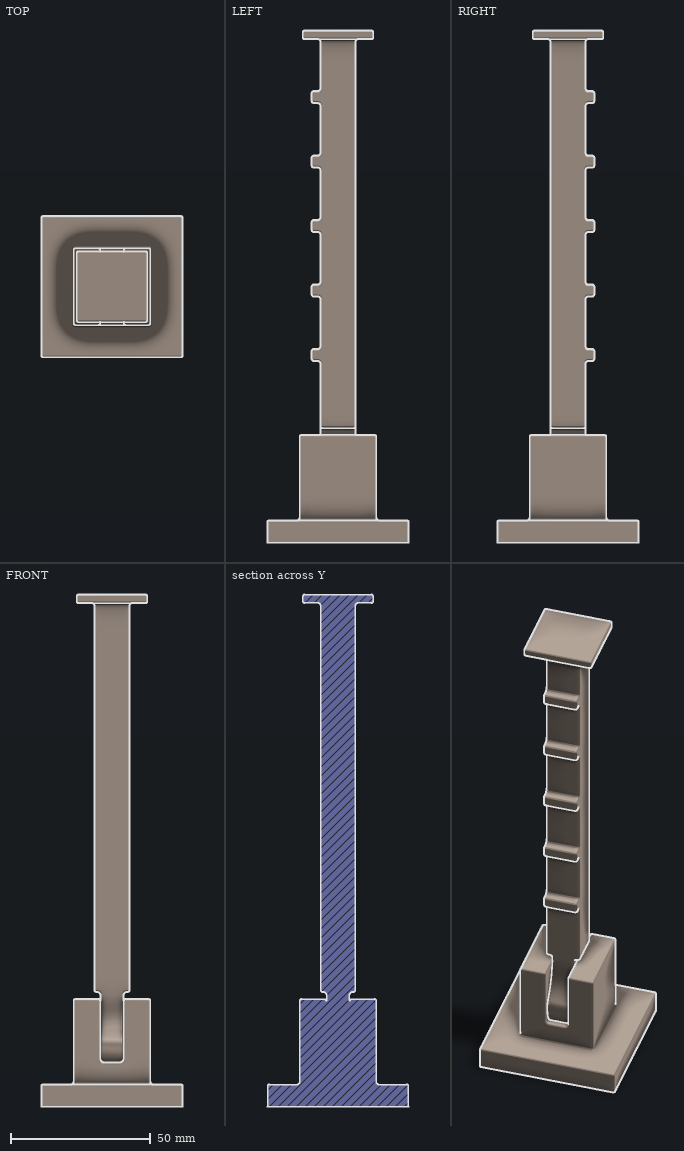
import cadquery as cq
import math

overall_height = 184.04
edge_fillet = 0.95
tolerance = 0.001

base_side = 50.8
base_height = 8.13
base_fillet = 0.76

block_side = 27.6
block_top = 38.8
block_fillet = 0.76
slot_width = 8.4
slot_floor = 16.0
slot_corner_radius = 1.5

post_side = 12.7
shoulder_height = 41.2

tongue_width = slot_width
tongue_overlap = 2.0
flare_top = 39.3
pivot_height = 21.4
foot_radius = 12.4
toe_radius = 6.35
toe_rise = 3.87

ridge_count = 5
ridge_pitch = 23.15
ridge_reach = 3.175
ridge_height = 4.4
lowest_ridge_height = 67.5

cap_side = 25.4
cap_thickness = 3.175
cap_fillet = 0.76
cap_bottom = overall_height - cap_thickness


def square_plate(side, bottom, top):
    """Square prism centred on the Z axis."""
    return cq.Workplane("XY").workplane(offset=bottom).rect(side, side).extrude(top - bottom)


def same(a, b):
    return abs(a - b) < tolerance


def fillet_edges(part, radius, wanted):
    """Fillet every edge whose bounding box satisfies the test."""
    edges = [edge for edge in part.edges().vals() if wanted(edge.BoundingBox())]
    return part.newObject(edges).fillet(radius)


def inside_square(box, half):
    """True when the box lies within a square of the given half side around the Z axis."""
    return max(abs(box.xmin), abs(box.xmax), abs(box.ymin), abs(box.ymax)) < half + tolerance


def make_base():
    base = square_plate(base_side, 0, base_height)
    base = base.edges("|Z").fillet(base_fillet)
    return base.faces(">Z").edges().fillet(base_fillet)


def make_block():
    """Block with a round-cornered slot running through it along Y."""
    slot = (
        cq.Workplane("XZ")
        .center(0, slot_floor + block_top / 2)
        .rect(slot_width, block_top)
        .extrude(block_side, both=True)
        .edges("|Y and <Z")
        .fillet(slot_corner_radius)
    )
    block = square_plate(block_side, base_height, block_top)
    block = block.edges("|Z").fillet(block_fillet).cut(slot)

    def on_rim(box):
        on_top = same(box.zmin, block_top)
        on_end = same(box.ylen, 0) and same(abs(box.ymin), block_side / 2)
        at_slot = max(abs(box.xmin), abs(box.xmax)) < slot_width / 2 + tolerance
        return on_top or (on_end and at_slot)

    return fillet_edges(block, block_fillet, on_rim)


def make_body():
    body = make_base().union(make_block())

    def at_block_root(box):
        return same(box.zmin, base_height) and same(box.zlen, 0) and inside_square(box, block_side / 2)

    return fillet_edges(body, edge_fillet, at_block_root)


def make_tongue():
    """Half outline in the YZ plane, extruded across the slot and mirrored."""
    half = post_side / 2
    top = shoulder_height + tongue_overlap
    toe_center = foot_radius - toe_radius

    flare_angle = math.asin(toe_rise / toe_radius)
    join = (toe_center + toe_radius * math.cos(flare_angle), pivot_height + toe_rise)
    toe_mid = (
        toe_center + toe_radius * math.cos(flare_angle / 2),
        pivot_height + toe_radius * math.sin(flare_angle / 2),
    )
    toe_tip = (foot_radius, pivot_height)

    heel_angle = math.asin(toe_rise / foot_radius)
    heel = (foot_radius * math.cos(heel_angle), pivot_height - toe_rise)
    lower_mid = (
        foot_radius * math.cos(heel_angle / 2),
        pivot_height - foot_radius * math.sin(heel_angle / 2),
    )
    sole = (heel[0] - (heel[1] - slot_floor) * math.tan(heel_angle), slot_floor)

    half_tongue = (
        cq.Workplane("YZ")
        .moveTo(0, top)
        .lineTo(half, top)
        .lineTo(half, flare_top)
        .tangentArcPoint(join, relative=False)
        .threePointArc(toe_mid, toe_tip)
        .threePointArc(lower_mid, heel)
        .lineTo(*sole)
        .lineTo(0, slot_floor)
        .close()
        .extrude(tongue_width / 2, both=True)
    )
    return half_tongue.union(half_tongue.mirror("XZ")).clean()


def make_post():
    """Square post with ridges on its +Y side, each with a rounded root."""
    half = post_side / 2
    post = square_plate(post_side, shoulder_height, cap_bottom)
    for index in range(ridge_count):
        ridge = (
            cq.Workplane("XY")
            .box(post_side, half + ridge_reach, ridge_height, centered=(True, False, True))
            .translate((0, 0, lowest_ridge_height + index * ridge_pitch))
        )
        post = post.union(ridge)

    def at_ridge_root(box):
        inner = shoulder_height + tolerance < box.zmin and box.zmax < cap_bottom - tolerance
        return inner and same(box.ymin, half) and same(box.ylen, 0) and same(box.zlen, 0)

    return fillet_edges(post, edge_fillet, at_ridge_root)


def make_handle():
    """Post and tongue joined, with their edges rounded."""
    half = post_side / 2
    handle = make_post().union(make_tongue()).clean()

    def at_shoulder_root(box):
        return same(box.zmin, shoulder_height) and same(box.xlen, 0) and same(abs(box.xmin), tongue_width / 2)

    handle = fillet_edges(handle, edge_fillet, at_shoulder_root)

    def on_post_side(box):
        on_side = same(box.xlen, 0) and same(abs(box.xmin), half)
        at_end = same(box.zlen, 0) and (same(box.zmin, shoulder_height) or same(box.zmin, cap_bottom))
        ridge_tip = same(box.ymin, half + ridge_reach)
        return (on_side and not at_end) or ridge_tip

    handle = fillet_edges(handle, edge_fillet, on_post_side)

    def on_tongue_outline(box):
        below = box.zmax < shoulder_height + tolerance
        flank = same(box.xlen, 0) and same(abs(box.xmin), tongue_width / 2) and box.zlen > tolerance
        shoulder = same(box.ylen, 0) and same(abs(box.ymin), half) and box.zmax > flare_top + tolerance
        return below and (flank or shoulder)

    return fillet_edges(handle, edge_fillet, on_tongue_outline)


def make_cap():
    return square_plate(cap_side, cap_bottom, overall_height).edges().fillet(cap_fillet)


def make_upper():
    upper = make_handle().union(make_cap())

    def at_cap_root(box):
        return same(box.zmin, cap_bottom) and same(box.zlen, 0) and inside_square(box, post_side / 2)

    return fillet_edges(upper, cap_fillet, at_cap_root)


result = make_body().union(make_upper()).solids()